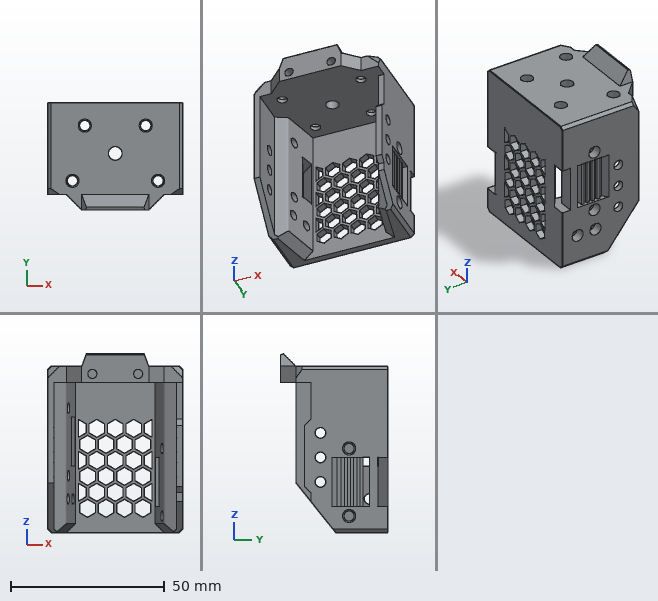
import cadquery as cq
import math


width = 44.0
half_width = width / 2
depth = 29.95
total_depth = 35.0
total_height = 58.3
body_height = 54.2
plate_thickness = 5.3
plate_bottom = body_height - plate_thickness
top_edge_bevel = 1.05
bottom_edge_bevel = 1.2
back_edge_bevel = 0.25
foot_depth = 16.95
slant_height = 16.25

back_wall = 2.5
cavity_back_half = 12.95
cavity_knee_half = 15.9
cavity_knee_depth = 15.8
cavity_front_half = 19.95
cavity_front_depth = 17.85
knee_radius = 1.15
flare = 3.0

tab_length = total_depth - depth
tab_half = 10.9
lip_crest_half = 9.4
lip_rise = total_height - body_height
lip_front_drop = 0.4
pin_hole_diameter = 3.0
pin_hole_depth = 5.8
pin_hole_x = 7.45
pin_hole_drop = 2.5
pin_hole_z = body_height - pin_hole_drop
corner_cut = 2.75

insert_diameter = 4.25
insert_depth = 3.5
screw_diameter = 3.3
center_hole_diameter = 4.4
center_hole_depth = 16.55
top_inserts = [(-9.9, 7.5), (9.9, 7.5), (-13.95, 25.5), (13.95, 25.5)]
cross_hole_diameter = 3.4
cross_hole_depth = 22.0
cross_hole_heights = [16.55, 24.55, 32.5]

clamp_height = 16.0
clamp_bottom = {-1: 21.7, 1: 8.55}
post_back = 3.25
post_front = 6.05
post_radius = (post_front - post_back) / 2
post_tip_half = 15.75
belt_gap = 2.05
guide_end_half = 17.4
guide_slope = 0.75
window_front = 18.25
crest_inset = 0.8
tooth_pitch = 2.05
tooth_height = 0.9
tooth_count = 4
clamp_insert_depth = 12.65
clamp_insert_offsets = [-3.1, 18.9]
extra_inserts = [(6.05, 11.0), (13.05, 11.0)]

wall_front_depth = 25.1
pad_height = 2.0
pad_bottom = 13.05
pad_top = 36.95

hex_flats = 5.0
hex_pitch = 6.0
hex_rows = 6
hex_columns = 6
vent_half = 11.95
vent_first_z = 8.0


def prism_z(points, bottom, top):
    """Vertical prism over an outline given as (x, depth) points."""
    outline = [(x, -y) for x, y in points]
    return cq.Workplane("XY").workplane(offset=bottom).polyline(outline).close().extrude(top - bottom)


def prism_x(points, x_min, x_max):
    """Prism along X over an outline given as (depth, z) points."""
    outline = [(-y, z) for y, z in points]
    return cq.Workplane("YZ").workplane(offset=x_min).polyline(outline).close().extrude(x_max - x_min)


def shell():
    outline = [
        (-half_width + bottom_edge_bevel, 0),
        (half_width - bottom_edge_bevel, 0),
        (half_width, bottom_edge_bevel),
        (half_width, body_height - top_edge_bevel),
        (half_width - top_edge_bevel, body_height),
        (-half_width + top_edge_bevel, body_height),
        (-half_width, body_height - top_edge_bevel),
        (-half_width, bottom_edge_bevel),
    ]
    block = cq.Workplane("XZ").polyline(outline).close().extrude(depth)
    block = block.faces(">Y").chamfer(back_edge_bevel)
    slant = prism_x([(foot_depth, 0), (depth, 0), (depth, slant_height)], -half_width, half_width)
    return block.cut(slant)


def cavity():
    right = [
        (cavity_back_half, back_wall),
        (cavity_knee_half, cavity_knee_depth),
        (cavity_front_half, cavity_front_depth),
        (cavity_front_half, total_depth),
    ]
    left = [(-x, y) for x, y in reversed(right)]
    space = prism_z(right + left, 0, plate_bottom)
    for side in (-1, 1):
        knee = cq.selectors.NearestToPointSelector(
            (side * cavity_knee_half, -cavity_knee_depth, plate_bottom / 2)
        )
        space = space.edges("|Z").edges(knee).fillet(knee_radius)
    return space


def bottom_flare(side):
    """Wedge that opens the bottom edge of one tilted inner wall."""
    run_x = cavity_knee_half - cavity_back_half
    run_y = cavity_knee_depth - back_wall
    wall_length = math.hypot(run_x, run_y)
    section = cq.Plane(
        origin=(side * cavity_back_half, -back_wall, 0),
        xDir=(side * run_y, run_x, 0),
        normal=(side * run_x, -run_y, 0),
    )
    rise = flare * section.yDir.z
    wedge = (
        cq.Workplane(section).workplane(offset=-flare)
        .polyline([(0, 0), (flare, 0), (0, rise)]).close().extrude(wall_length + 2 * flare)
    )
    in_front_of_back_wall = cq.Workplane("XY").box(width, total_depth, 2 * flare).translate(
        (0, -back_wall - total_depth / 2, 0)
    )
    return wedge.intersect(in_front_of_back_wall)


def front_tab():
    root_half = tab_half + tab_length
    tab = prism_z(
        [(-root_half, depth), (root_half, depth), (tab_half, total_depth), (-tab_half, total_depth)],
        plate_bottom, body_height,
    )
    lip = prism_x(
        [
            (depth, body_height),
            (depth + lip_rise, total_height),
            (total_depth, total_height - lip_front_drop),
            (total_depth, body_height),
        ],
        -tab_half, tab_half,
    )
    tapered_ends = cq.Workplane("XZ").polyline(
        [
            (-tab_half, body_height),
            (tab_half, body_height),
            (lip_crest_half, total_height),
            (-lip_crest_half, total_height),
        ]
    ).close().extrude(total_depth)
    return tab.union(lip.intersect(tapered_ends))


def corner_wedge(side):
    """45 degree wedge across one front top corner."""
    diagonal = cq.Plane(
        origin=(side * half_width, -depth, body_height), xDir=(-side, 0, -1), normal=(side, 0, -1)
    )
    reach = corner_cut * diagonal.yDir.y
    return (
        cq.Workplane(diagonal).polyline([(0, 0), (corner_cut, 0), (0, reach)]).close()
        .extrude(2 * corner_cut, both=True)
    )


def insert_hole(position, inward, length):
    """Insert bore with a 45 degree step down to a screw hole."""
    cone = (insert_diameter - screw_diameter) / 2
    profile = [
        (0, 0),
        (insert_diameter / 2, 0),
        (insert_diameter / 2, insert_depth),
        (screw_diameter / 2, insert_depth + cone),
        (screw_diameter / 2, length),
        (0, length),
    ]
    along = cq.Vector(*inward)
    radial = along.cross(cq.Vector(0, 1, 0))
    plane = cq.Plane(origin=position, xDir=radial, normal=radial.cross(along))
    return cq.Workplane(plane).polyline(profile).close().revolve(360, (0, 0), (0, 1))


def top_holes():
    holes = (
        cq.Workplane("XY").workplane(offset=plate_bottom)
        .center(0, -center_hole_depth).circle(center_hole_diameter / 2).extrude(plate_thickness)
    )
    for x, y in top_inserts:
        holes = holes.union(insert_hole((x, -y, body_height), (0, 0, -1), plate_thickness))
    return holes


def wall_inserts(side):
    places = [(clamp_insert_depth, clamp_bottom[side] + offset) for offset in clamp_insert_offsets]
    if side < 0:
        places += extra_inserts
    holes = cq.Workplane("XY")
    for y, z in places:
        start = (side * half_width, -y, z)
        holes = holes.add(insert_hole(start, (-side, 0, 0), half_width - cavity_back_half))
    return holes.combine()


def cross_holes():
    return (
        cq.Workplane("YZ").workplane(offset=-half_width)
        .pushPoints([(-cross_hole_depth, z) for z in cross_hole_heights])
        .circle(cross_hole_diameter / 2).extrude(width)
    )


def pin_holes():
    return (
        cq.Workplane("XZ").workplane(offset=total_depth - pin_hole_depth)
        .pushPoints([(-pin_hole_x, pin_hole_z), (pin_hole_x, pin_hole_z)])
        .circle(pin_hole_diameter / 2).extrude(pin_hole_depth)
    )


def belt_clamp(side):
    """Belt path through one side wall: around the post and along the teeth."""
    bottom = clamp_bottom[side]
    top = bottom + clamp_height
    post_center_x = post_tip_half + post_radius
    gap_front = post_front + belt_gap
    crest_x = half_width - crest_inset
    groove_x = crest_x - tooth_height
    guide_depth = guide_slope * (guide_end_half - cavity_back_half)

    path = prism_z(
        [
            (half_width, 0),
            (guide_end_half, 0),
            (cavity_back_half, guide_depth),
            (cavity_back_half, gap_front),
            (half_width, gap_front),
        ],
        bottom, top,
    )
    post = (
        cq.Workplane("XY").workplane(offset=bottom)
        .moveTo(half_width, -post_back)
        .lineTo(post_center_x, -post_back)
        .threePointArc((post_tip_half, -post_back - post_radius), (post_center_x, -post_front))
        .lineTo(half_width, -post_front)
        .close().extrude(clamp_height)
    )
    path = path.cut(post)

    ramp_start = window_front - (half_width - groove_x)
    window = prism_z(
        [
            (half_width, gap_front),
            (groove_x, gap_front),
            (groove_x, ramp_start),
            (half_width, window_front),
        ],
        bottom, top,
    )
    for index in range(tooth_count):
        back = gap_front + index * tooth_pitch
        front = back + tooth_pitch / 2
        tooth = [(groove_x, back), (crest_x, back), (crest_x, front), (groove_x, front)]
        window = window.cut(prism_z(tooth, bottom, top))

    path = path.union(window)
    return path if side > 0 else path.mirror("YZ")


def right_wall_relief():
    """Front of the right wall, removed except for the bevelled pad."""
    pad_front = wall_front_depth + pad_height
    return prism_x(
        [
            (wall_front_depth, 0),
            (total_depth, 0),
            (total_depth, plate_bottom),
            (wall_front_depth, plate_bottom),
            (wall_front_depth, pad_top),
            (pad_front, pad_top - pad_height),
            (pad_front, pad_bottom + pad_height),
            (wall_front_depth, pad_bottom),
        ],
        cavity_front_half, half_width,
    )


def hex_vent():
    row_pitch = hex_pitch * math.sqrt(3) / 2
    centers = []
    for row in range(hex_rows):
        shift = hex_pitch / 2 if row % 2 == 0 else 0
        for column in range(hex_columns):
            x = (column - hex_columns / 2) * hex_pitch + shift
            centers.append((x, vent_first_z + row * row_pitch))
    corner_diameter = hex_flats * 2 / math.sqrt(3)
    hexagon = cq.Sketch().regularPolygon(corner_diameter / 2, 6, angle=0)
    cells = cq.Workplane("XZ").pushPoints(centers).placeSketch(hexagon).extrude(back_wall)
    field = cq.Workplane("XZ").rect(2 * vent_half, 2 * total_height).extrude(back_wall)
    return cells.intersect(field)


result = shell().union(front_tab()).cut(cavity())
result = result.cut(right_wall_relief()).cut(hex_vent())
result = result.cut(top_holes()).cut(cross_holes()).cut(pin_holes())
for wall_side in (-1, 1):
    result = result.cut(corner_wedge(wall_side))
    result = result.cut(bottom_flare(wall_side))
    result = result.cut(belt_clamp(wall_side))
    result = result.cut(wall_inserts(wall_side))